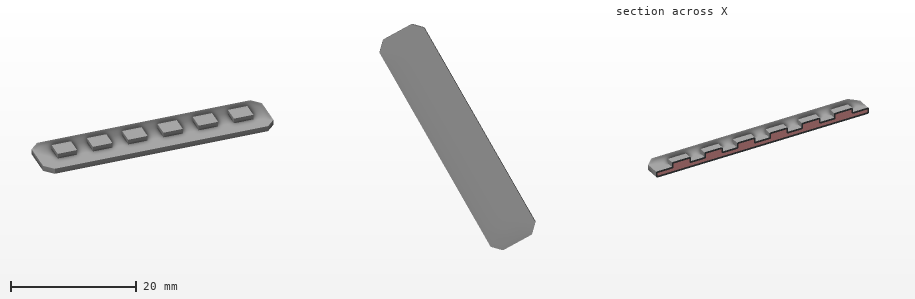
import cadquery as cq

strip_width = 8.2
strip_length = 39.2
strip_thickness = 0.95
corner_cut = 1.45

total_height = 1.8
pad_width = 2.8
pad_length = 3.3
pad_pitch = 6.0
pad_count = 6
pad_height = total_height - strip_thickness


def make_strip():
    """Flat strip resting on Z = 0, with its four vertical corners chamfered."""
    strip = cq.Workplane("XY").box(
        strip_width, strip_length, strip_thickness, centered=(True, True, False)
    )
    return strip.edges("|Z").chamfer(corner_cut)


def add_pads(strip):
    """Raise the evenly spaced pads from the top face of the strip."""
    return (
        strip.faces(">Z")
        .workplane(origin=(0, 0, 0))
        .rarray(0.4, pad_pitch, 1, pad_count)
        .rect(pad_width, pad_length)
        .extrude(pad_height)
    )


result = add_pads(make_strip())